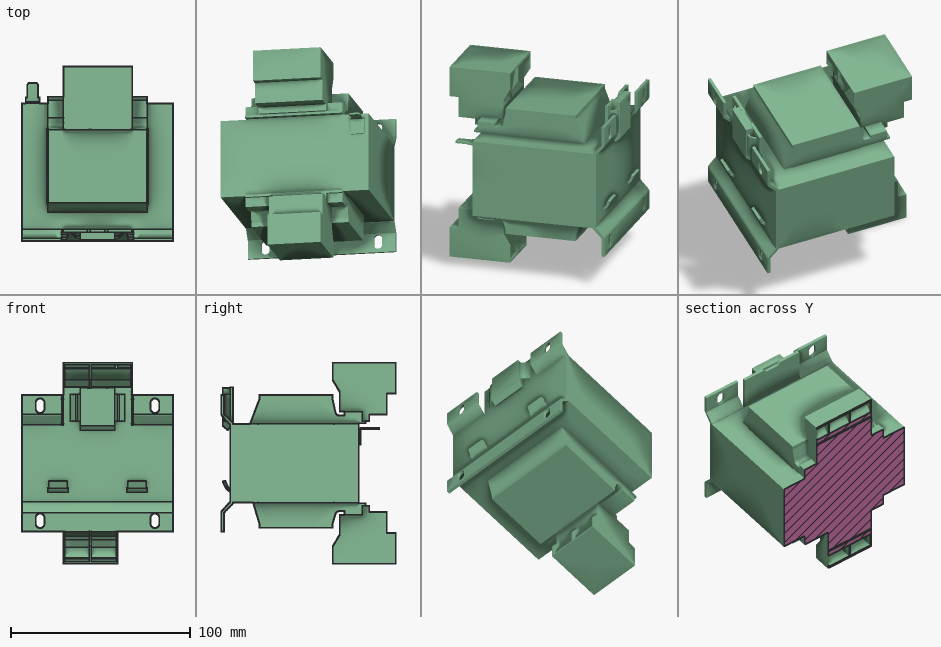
import cadquery as cq

width = 84.05
overall_depth = 97.32
overall_height = 112.0
half_height = overall_height / 2

sheet = 1.75
plate_front = 5.0
plate_back = plate_front + sheet
plate_half_height = 38.1
bend_start_z = 21.5
flange_start_z = 27.4
bend_inner_rise = 0.8
bend_land = 0.5
slot_width = 4.8
slot_length = 8.0
slot_x = 31.95
slot_z = 32.0

core_depth = 70.0
core_back = plate_back + core_depth
core_half_height = 21.95
yoke = 14.0
window_half_width = 28.0
window_front = plate_back + yoke
window_back = core_back - yoke

bobbin_half_width = 27.55
bobbin_top = 38.05
bobbin_bottom = 36.0
bobbin_rim = 2.4
bobbin_front_face = 21.3
bobbin_back_face = 62.1
bobbin_upper_foot = 16.1
bobbin_lower_foot = 17.8
bobbin_rear = 78.5
bobbin_shelf_z = 28.7
tongue_end = 80.5
tongue_bottom_z = 22.2
tongue_top_z = 23.5

terminal_left = -19.0
divider_left = -4.5
divider_right = -3.4
upper_right = 19.4
lower_right = 11.3
outer_wall = 0.85
flush_rib_left = 10.0
terminal_mouth = 62.1
terminal_throat = 66.0
terminal_roof = 1.3

tab_half_width = 18.95
tab_top = 42.3
tab_gap = 0.95
tab_gap_floor = 21.1
notch_top_half = 5.8
notch_bottom_half = 4.0
notch_depth = notch_top_half - notch_bottom_half
clip_half_width = 9.65
clip_front = 0.85
clip_top = 41.95
wing_bottom = 23.5
wing_top = 38.4
wing_front = 1.6
wing_back = 2.7
hook_x = 21.95
hook_base_width = 11.3
hook_tip_width = 10.5
hook_tip_chamfer = 0.5

earth_x = -36.05
earth_base_width = 7.8
earth_blade_width = 6.1
earth_sheet = 0.9
earth_top = 19.75
earth_bottom = 10.4
earth_tip = 88.1
earth_shoulder = 80.0
earth_tip_chamfer = 0.9
earth_bend_chamfer = 0.85


def box(x0, x1, y0, y1, z0, z1):
    """Box between two opposite corners."""
    return cq.Workplane("XY").box(x1 - x0, y1 - y0, z1 - z0, centered=False).translate((x0, y0, z0))


def side_prism(points, x0, x1):
    """Extrude a (y, z) outline from x0 to x1."""
    return cq.Workplane("YZ").workplane(offset=x0).polyline(points).close().extrude(x1 - x0)


def flip_z(points):
    """Mirror a (y, z) outline to the lower half."""
    return [(y, -z) for y, z in points]


def make_core():
    """Core stack with the clearance slots between the window edges and the bobbin."""
    core = box(-width / 2, width / 2, plate_back, core_back, -core_half_height, core_half_height)
    for x0, x1 in (
        (-window_half_width, -bobbin_half_width),
        (bobbin_half_width, window_half_width),
    ):
        core = core.cut(box(x0, x1, window_front, window_back, -core_half_height, core_half_height))
    return core


def make_bobbin_half(side, height, front_foot):
    """Bobbin end above (side = 1) or below (side = -1) the core; front_foot is where its slope lands."""
    rim_z = height - bobbin_rim
    notch_floor_z = 26.6
    notch_back = 68.6
    notch_front = 65.9
    corner_end = (63.7, 28.3)
    corner_middle = (64.55, 27.05)
    outline = (
        cq.Workplane("YZ").workplane(offset=-bobbin_half_width)
        .moveTo(front_foot, side * core_half_height)
        .lineTo(bobbin_front_face, side * rim_z)
        .lineTo(bobbin_front_face, side * height)
        .lineTo(bobbin_back_face, side * height)
        .lineTo(bobbin_back_face, side * rim_z)
        .lineTo(corner_end[0], side * corner_end[1])
        .threePointArc((corner_middle[0], side * corner_middle[1]), (notch_front, side * notch_floor_z))
        .lineTo(notch_back, side * notch_floor_z)
        .lineTo(notch_back, side * bobbin_shelf_z)
        .lineTo(bobbin_rear, side * bobbin_shelf_z)
        .lineTo(bobbin_rear, side * tongue_top_z)
        .lineTo(tongue_end, side * tongue_top_z)
        .lineTo(tongue_end, side * tongue_bottom_z)
        .lineTo(core_back, side * tongue_bottom_z)
        .lineTo(core_back, side * core_half_height)
        .close()
    )
    return outline.extrude(2 * bobbin_half_width)


def make_terminal(side, right, rib_left=None):
    """Terminal block above or below the core, with open wire chambers facing -Y."""
    step_y = 92.3
    foot_y = 82.5
    foot_z = 27.0
    shoulder_z = 38.7
    throat_top_z = 39.7
    mouth_bottom_z = 46.2
    body = [
        (terminal_mouth, half_height),
        (overall_depth, half_height),
        (overall_depth, shoulder_z),
        (step_y, shoulder_z),
        (step_y, foot_z),
        (foot_y, foot_z),
        (foot_y, tongue_top_z),
        (bobbin_rear, tongue_top_z),
        (bobbin_rear, bobbin_shelf_z),
        (terminal_throat, bobbin_shelf_z),
        (terminal_throat, throat_top_z),
        (terminal_mouth, mouth_bottom_z),
    ]
    ceiling = half_height - terminal_roof
    rear = 74.9
    rear_step_z = 48.7
    arm_back = 74.1
    arm_foot_z = 42.6
    sill_back = 72.9
    sill_back_z = 40.7
    sill_front_z = 36.0
    chamber = [
        (terminal_mouth, ceiling),
        (rear, ceiling),
        (rear, rear_step_z),
        (arm_back, rear_step_z),
        (arm_back, arm_foot_z),
        (sill_back, arm_foot_z),
        (sill_back, sill_back_z),
        (terminal_throat, sill_front_z),
        (terminal_mouth, sill_front_z),
    ]
    arm_tip = (66.5, 52.5)
    arm_bend = (72.2, 46.6)
    arm_foot = (73.2, arm_foot_z)
    arm = [
        arm_tip,
        arm_bend,
        arm_foot,
        (arm_back, arm_foot_z),
        (73.0, 47.0),
        (67.1, 53.1),
    ]
    rib = [arm_tip, arm_bend, arm_foot, (rear, arm_foot_z), (rear, ceiling), (arm_tip[0], ceiling)]
    if side < 0:
        body, chamber, arm, rib = [flip_z(outline) for outline in (body, chamber, arm, rib)]
    block = side_prism(body, terminal_left, right)
    chambers = (
        (terminal_left + outer_wall, divider_left),
        (divider_right, right - outer_wall),
    )
    for x0, x1 in chambers:
        block = block.cut(side_prism(chamber, x0, x1))
        block = block.union(side_prism(arm, x0, x1))
    if rib_left is not None:
        block = block.union(side_prism(rib, rib_left, lower_right))
    return block


def make_flange(side, x0, x1):
    """Stepped mounting flange running from the plate to the mounting face."""
    outline = [
        (plate_back, 0),
        (plate_back, bend_start_z + bend_inner_rise),
        (sheet, flange_start_z),
        (sheet, plate_half_height),
        (0, plate_half_height),
        (0, flange_start_z),
        (bend_land, flange_start_z - 2 * bend_land),
        (plate_front, bend_start_z),
        (plate_front, 0),
    ]
    return side_prism(outline if side > 0 else flip_z(outline), x0, x1)


def make_plate():
    """Mounting plate with one full lower flange, two upper flanges and the notched spring tab."""
    gap_edge = tab_half_width + tab_gap
    plate = make_flange(-1, -width / 2, width / 2)
    plate = plate.union(make_flange(1, -width / 2, -gap_edge))
    plate = plate.union(make_flange(1, gap_edge, width / 2))
    plate = plate.union(box(-gap_edge, gap_edge, plate_front, plate_back, 0, tab_gap_floor))
    plate = plate.union(box(-tab_half_width, tab_half_width, plate_front, plate_back, 0, tab_top))
    notch = (
        cq.Workplane("XZ")
        .polyline([
            (-notch_top_half, tab_top),
            (notch_top_half, tab_top),
            (notch_bottom_half, tab_top - notch_depth),
            (-notch_bottom_half, tab_top - notch_depth),
        ])
        .close().extrude(-plate_back)
    )
    plate = plate.cut(notch)
    slots = (
        cq.Workplane("XZ")
        .pushPoints([(x, z) for x in (-slot_x, slot_x) for z in (-slot_z, slot_z)])
        .slot2D(slot_length, slot_width, 90)
        .extrude(-sheet)
    )
    return plate.cut(slots)


def make_clip():
    """Snap clip block with a bent wing on each side."""
    outline = [
        (plate_front, clip_top),
        (clip_front, clip_top),
        (clip_front, 20.9),
        (3.7, 18.4),
        (plate_front, 20.0),
    ]
    clip = side_prism(outline, -clip_half_width, clip_half_width)
    for side in (-1, 1):
        wing = (
            cq.Workplane("XY").workplane(offset=wing_bottom)
            .polyline([
                (side * 15.3, plate_front),
                (side * 12.1, 2.0),
                (side * 10.9, wing_front),
                (side * clip_half_width, wing_front),
                (side * clip_half_width, wing_back),
                (side * 11.6, wing_back),
                (side * 13.6, plate_front),
            ])
            .close().extrude(wing_top - wing_bottom)
        )
        clip = clip.union(wing)
    return clip


def make_hook(x):
    """Bent rail hook: a wide root leaning out of the plate and a narrower upright tip."""
    knee_outer = (2.7, -14.0)
    knee_inner = (4.0, -13.5)
    root = [(plate_front, -16.0), knee_outer, knee_inner, (plate_front, -14.4)]
    tip = [knee_outer, (0.85, -10.1), (2.3, -9.6), knee_inner]
    hook = side_prism(root, x - hook_base_width / 2, x + hook_base_width / 2)
    upright = side_prism(tip, x - hook_tip_width / 2, x + hook_tip_width / 2)
    upright = upright.faces(">Z").edges("#X").chamfer(hook_tip_chamfer)
    return hook.union(upright)


def make_earth_terminal():
    """L-shaped earth bracket on the back of the core with a narrower push-on blade."""
    def centred(width_x, y0, y1, z0, z1):
        return box(earth_x - width_x / 2, earth_x + width_x / 2, y0, y1, z0, z1)

    blade_bottom = earth_top - earth_sheet
    blade = centred(earth_blade_width, earth_shoulder, earth_tip, blade_bottom, earth_top)
    blade = blade.edges("|Z and >Y").chamfer(earth_tip_chamfer)
    base = centred(earth_base_width, core_back, earth_shoulder, blade_bottom, earth_top)
    foot = centred(earth_base_width, core_back, core_back + earth_sheet, earth_bottom, earth_top)
    bracket = base.union(foot).edges("|X and <Y and >Z").chamfer(earth_bend_chamfer)
    return bracket.union(blade)


result = make_core()
result = result.union(make_plate())
result = result.union(make_bobbin_half(1, bobbin_top, bobbin_upper_foot))
result = result.union(make_bobbin_half(-1, bobbin_bottom, bobbin_lower_foot))
result = result.union(make_terminal(1, upper_right, flush_rib_left))
result = result.union(make_terminal(-1, lower_right))
result = result.union(make_clip())
for x in (-hook_x, hook_x):
    result = result.union(make_hook(x))
result = result.union(make_earth_terminal())